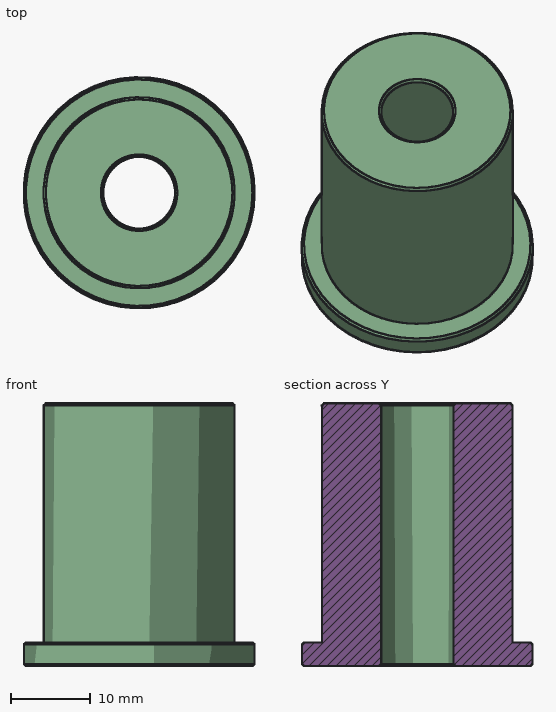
import cadquery as cq

total_height = 33.0
flange_diameter = 29.0
flange_thickness = 3.0
body_diameter = 24.0
bore_diameter = 9.0
edge_chamfer = 0.3


def chamfered_cylinder(diameter, height, edges):
    """Cylinder standing on Z = 0 with the selected rims chamfered."""
    cylinder = cq.Workplane("XY").circle(diameter / 2).extrude(height)
    return cylinder.edges(edges).chamfer(edge_chamfer)


def bore_cutter():
    """Through bore that widens into a chamfer at both ends."""
    bore_radius = bore_diameter / 2
    mouth_radius = bore_radius + edge_chamfer
    profile = [
        (0, 0),
        (mouth_radius, 0),
        (bore_radius, edge_chamfer),
        (bore_radius, total_height - edge_chamfer),
        (mouth_radius, total_height),
        (0, total_height),
    ]
    return cq.Workplane("XZ").polyline(profile).close().revolve(360, (0, 0, 0), (0, 1, 0))


flange = chamfered_cylinder(flange_diameter, flange_thickness, "%CIRCLE")
body = chamfered_cylinder(body_diameter, total_height, ">Z")

result = flange.union(body).cut(bore_cutter())